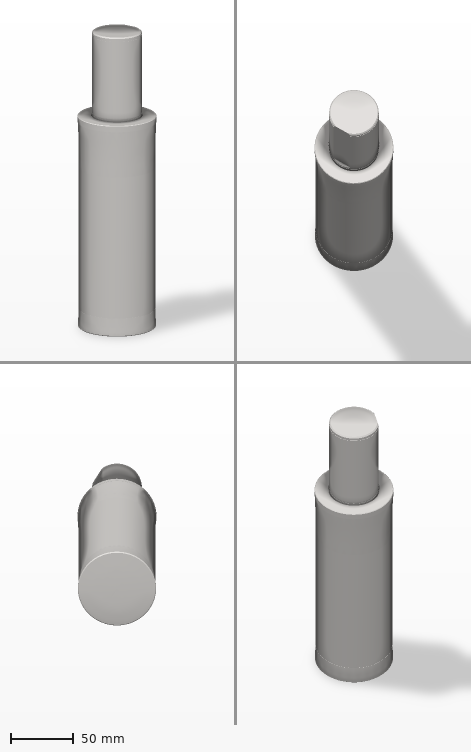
import cadquery as cq

total_height = 246.0

head_diameter = 63.0
neck_diameter = 62.5
barrel_diameter = 61.3
flare_diameter = 61.5
base_diameter = 62.5
shoulder_height = 176.1
head_bottom = 171.0
taper_bottom = 133.0
flare_top = 16.0
base_edge_height = 1.7
dome_height = 1.0
dome_diameter = 61.0
head_chamfer = 0.5

bore_diameter = 41.3
bore_depth = 2.0

rod_diameter = 39.5
rod_chamfer = 1.0
flat_offset = 18.2
flat_bottom = 180.8

groove_diameter = 39.0
groove_width = 1.0
groove_bottoms = (177.4, 242.5)

bore_floor = shoulder_height - bore_depth


def make_housing():
    head_radius = head_diameter / 2
    barrel_radius = barrel_diameter / 2
    bore_radius = bore_diameter / 2
    dome_radius = dome_diameter / 2
    dome_middle = (dome_radius / 2, dome_height / 4)
    return (
        cq.Workplane("XZ")
        .moveTo(0, 0)
        .threePointArc(dome_middle, (dome_radius, dome_height))
        .lineTo(base_diameter / 2, base_edge_height)
        .lineTo(flare_diameter / 2, flare_top)
        .lineTo(barrel_radius, flare_top)
        .lineTo(barrel_radius, taper_bottom)
        .lineTo(neck_diameter / 2, head_bottom)
        .lineTo(head_radius, head_bottom)
        .lineTo(head_radius, shoulder_height - head_chamfer)
        .lineTo(head_radius - head_chamfer, shoulder_height)
        .lineTo(bore_radius, shoulder_height)
        .lineTo(bore_radius, bore_floor)
        .lineTo(0, bore_floor)
        .close()
        .revolve(360, (0, 0, 0), (0, 1, 0))
    )


def make_groove_cutter(bottom):
    return (
        cq.Workplane("XY", origin=(0, 0, bottom))
        .circle(rod_diameter)
        .circle(groove_diameter / 2)
        .extrude(groove_width)
    )


def make_flat_cutter():
    outer_offset = rod_diameter
    ramp_drop = outer_offset - flat_offset
    return (
        cq.Workplane("YZ")
        .moveTo(flat_offset, total_height)
        .lineTo(flat_offset, flat_bottom)
        .lineTo(outer_offset, flat_bottom - ramp_drop)
        .lineTo(outer_offset, total_height)
        .close()
        .extrude(rod_diameter, both=True)
    )


def make_rod():
    rod = (
        cq.Workplane("XY", origin=(0, 0, bore_floor))
        .circle(rod_diameter / 2)
        .extrude(total_height - bore_floor)
        .faces(">Z")
        .chamfer(rod_chamfer)
    )
    for bottom in groove_bottoms:
        rod = rod.cut(make_groove_cutter(bottom))
    return rod.cut(make_flat_cutter())


housing = make_housing()
rod = make_rod()

result = cq.Compound.makeCompound([housing.val(), rod.val()])